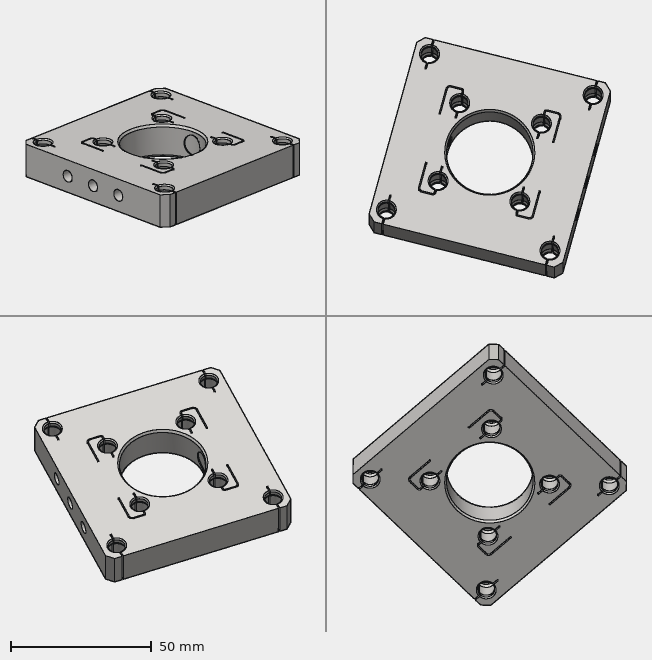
import cadquery as cq

SIDE = 71.1
THICKNESS = 12.5
CORNER_CHAMFER = 2.5

BORE_DIAMETER = 30.7
BORE_CHAMFER_WIDTH = 0.65
BORE_CHAMFER_HEIGHT = 0.9

ROD_DIAMETER = 6.05
ROD_CHAMFER = 0.5
OUTER_ROD_OFFSET = 30.0
INNER_ROD_OFFSET = OUTER_ROD_OFFSET / 2

RELIEF_LAND = 1.9
RELIEF_TAPER = 1.2
RELIEF_STEP = 0.6

SLIT_WIDTH = 0.5
SLIT_REACH = 5.6
HOOK_SIDE_X = 20.25
HOOK_ARM_Y = 20.8
HOOK_ARM_RADIUS = 1.3
HOOK_ROD_RADIUS = 0.7

SCREW_DIAMETER = 4.4
SCREW_SPACING = 12.5
SCREW_DEPTH = 9.95

SEAT_DIAMETER = 7.8
SEAT_DEPTH = 0.4

HALF_SIDE = SIDE / 2
HALF_THICKNESS = THICKNESS / 2


def block(x_min, x_max, y_min, y_max):
    """Full-thickness box between the given limits."""
    box = cq.Workplane("XY").box(x_max - x_min, y_max - y_min, THICKNESS)
    return box.translate(((x_min + x_max) / 2, (y_min + y_max) / 2, 0))


def coned_hole(x, y, radius, rim_radius, shoulder_z, rim_z):
    """Vertical cutter, radius wide up to shoulder_z and coned to rim_radius at rim_z, same below."""
    profile = [
        (0, -rim_z),
        (rim_radius, -rim_z),
        (radius, -shoulder_z),
        (radius, shoulder_z),
        (rim_radius, rim_z),
        (0, rim_z),
    ]
    cutter = cq.Workplane("XZ").polyline(profile).close().revolve(360, (0, 0, 0), (0, 1, 0))
    return cutter.translate((x, y, 0))


def chamfered_hole(x, y, diameter, chamfer_width, chamfer_height):
    """Cutter for a vertical through hole chamfered at both rims."""
    radius = diameter / 2
    shoulder_z = HALF_THICKNESS - chamfer_height
    return coned_hole(x, y, radius, radius + chamfer_width, shoulder_z, HALF_THICKNESS)


def relief(x, y):
    """Cutter for the relief that widens a rod hole between its two lands."""
    radius = ROD_DIAMETER / 2
    end_z = HALF_THICKNESS - RELIEF_LAND
    return coned_hole(x, y, radius + RELIEF_STEP, radius, end_z - RELIEF_TAPER, end_z)


def edge_slit():
    """Straight slit from the +X face through the outer rod hole of the +X +Y corner."""
    half_width = SLIT_WIDTH / 2
    return block(
        OUTER_ROD_OFFSET - SLIT_REACH,
        HALF_SIDE,
        OUTER_ROD_OFFSET - half_width,
        OUTER_ROD_OFFSET + half_width,
    )


def hook_block(growth):
    """Round-cornered block bounded by the hook slit's centreline, grown outward by growth."""
    body = block(
        INNER_ROD_OFFSET - SLIT_REACH,
        HOOK_SIDE_X + growth,
        INNER_ROD_OFFSET - growth,
        HOOK_ARM_Y + growth,
    )
    body = body.edges("|Z and >X and >Y").fillet(HOOK_ARM_RADIUS + growth)
    return body.edges("|Z and >X and <Y").fillet(HOOK_ROD_RADIUS + growth)


def hook_slit():
    """U-shaped slit through the inner rod hole, freeing a clamping finger in the +X +Y corner."""
    half_width = SLIT_WIDTH / 2
    return hook_block(half_width).cut(hook_block(-half_width))


def cut_in_all_corners(body, cutter):
    """Cut a +X +Y corner cutter and its mirror images in the other three corners."""
    for tool in (cutter, cutter.mirror("XZ")):
        body = body.cut(tool)
        body = body.cut(tool.mirror("YZ"))
    return body


def screw_hole(x):
    """Cutter for a blind hole drilled into the -Y face at mid-thickness."""
    hole = cq.Workplane("XZ").circle(SCREW_DIAMETER / 2).extrude(-SCREW_DEPTH)
    return hole.translate((x, -HALF_SIDE, 0))


def bore_seat():
    """Cutter for the round seat in the +Y bore wall."""
    floor_radius = BORE_DIAMETER / 2 + SEAT_DEPTH
    seat_bore = cq.Workplane("XZ").circle(SEAT_DIAMETER / 2).extrude(-HALF_SIDE)
    floor_limit = cq.Workplane("XY").circle(floor_radius).extrude(HALF_THICKNESS, both=True)
    return seat_bore.intersect(floor_limit)


plate = cq.Workplane("XY").box(SIDE, SIDE, THICKNESS).edges("|Z").chamfer(CORNER_CHAMFER)
plate = plate.cut(chamfered_hole(0, 0, BORE_DIAMETER, BORE_CHAMFER_WIDTH, BORE_CHAMFER_HEIGHT))

for offset in (OUTER_ROD_OFFSET, INNER_ROD_OFFSET):
    plate = cut_in_all_corners(plate, chamfered_hole(offset, offset, ROD_DIAMETER, ROD_CHAMFER, ROD_CHAMFER))
    plate = cut_in_all_corners(plate, relief(offset, offset))

plate = cut_in_all_corners(plate, edge_slit())
plate = cut_in_all_corners(plate, hook_slit())

for position in (-1, 0, 1):
    plate = plate.cut(screw_hole(position * SCREW_SPACING))

result = plate.cut(bore_seat())